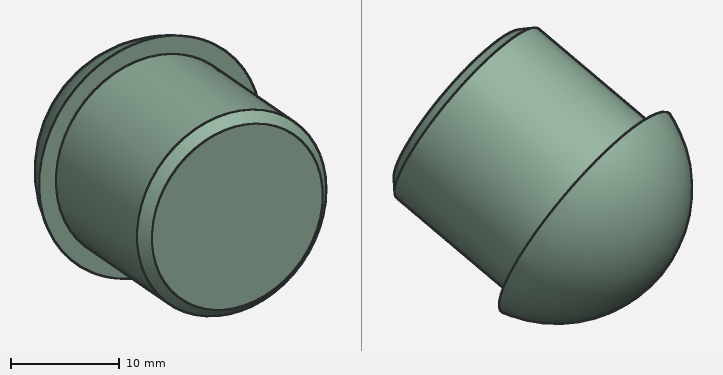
import cadquery as cq

total_length = 24.5
dome_diameter = 24.0
dome_height = 9.0
shank_diameter = 20.4
end_chamfer = 1.0

dome_rim_radius = dome_diameter / 2
shank_radius = shank_diameter / 2
shank_length = total_length - dome_height
sphere_radius = (dome_rim_radius**2 + dome_height**2) / (2 * dome_height)


def make_dome():
    """Spherical cap with its tip on the -X side and its flat face at X = 0."""
    sphere_center_x = sphere_radius - dome_height
    sphere = cq.Workplane("XY").sphere(sphere_radius).translate((sphere_center_x, 0, 0))
    cap_envelope = cq.Workplane("YZ").circle(sphere_radius).extrude(-sphere_radius)
    return sphere.intersect(cap_envelope)


def make_shank():
    """Plain cylinder along +X with a chamfered free end."""
    shank = cq.Workplane("YZ").circle(shank_radius).extrude(shank_length)
    return shank.faces(">X").edges().chamfer(end_chamfer)


result = make_dome().union(make_shank())